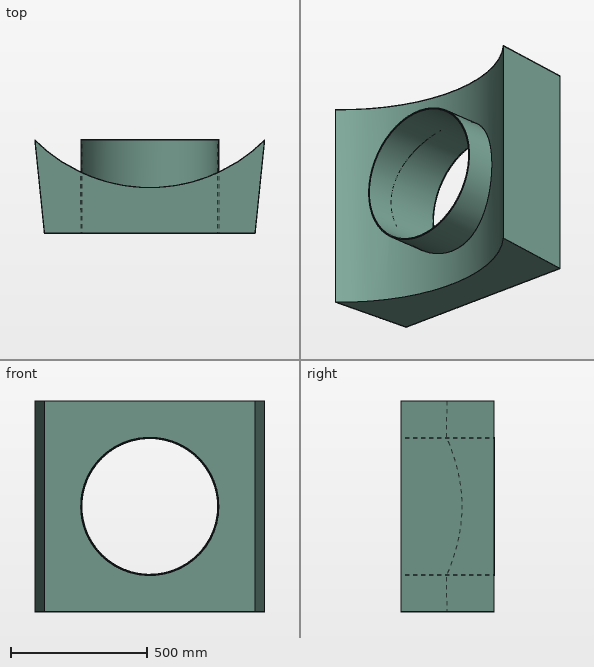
import cadquery as cq

back_width = 845.0
front_width = 775.0
height = 775.0
depth = 343.0
saddle_thickness = 168.0

sleeve_diameter = 508.0
sleeve_wall = 4.0
sleeve_length = 345.0


def cylinder_along_y(diameter, length):
    """Cylinder on the block's centre axis, starting at the front face."""
    front_plane = cq.Workplane("XZ")
    return front_plane.circle(diameter / 2).extrude(-length)


def make_saddle_block():
    """Tapered block with a cylindrical saddle and a bore for the sleeve."""
    block = (
        cq.Workplane("XY")
        .moveTo(-front_width / 2, 0)
        .lineTo(front_width / 2, 0)
        .lineTo(back_width / 2, depth)
        .threePointArc((0, saddle_thickness), (-back_width / 2, depth))
        .close()
        .extrude(height / 2, both=True)
    )
    return block.cut(cylinder_along_y(sleeve_diameter, depth))


def make_sleeve():
    """Thin-walled straight pipe, flush with the front face."""
    bore_diameter = sleeve_diameter - 2 * sleeve_wall
    outside = cylinder_along_y(sleeve_diameter, sleeve_length)
    return outside.cut(cylinder_along_y(bore_diameter, sleeve_length))


saddle_block = make_saddle_block()
sleeve = make_sleeve()

result = cq.Compound.makeCompound([saddle_block.val(), sleeve.val()])